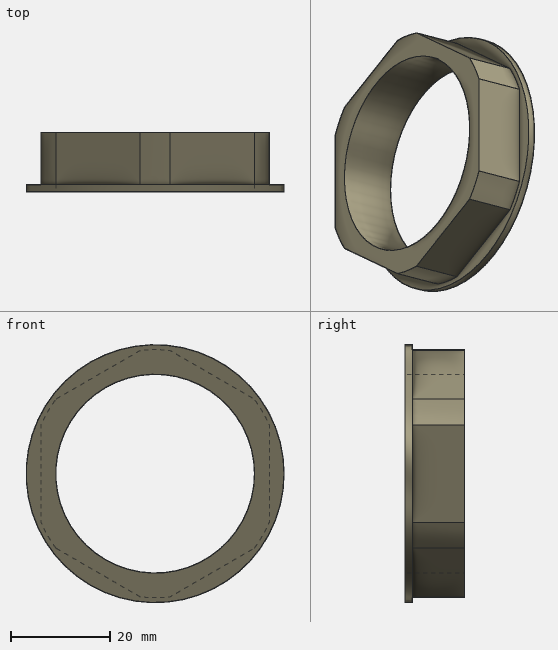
import cadquery as cq
import math

flange_diameter = 52.0
flange_thickness = 1.5
total_length = 12.0
bore_diameter = 40.0
hex_across_flats = 46.0
hex_corner_diameter = 50.0

hex_sides = 6
half_side_angle = 180.0 / hex_sides
hex_across_corners = hex_across_flats / math.cos(math.radians(half_side_angle))

base_plane = cq.Plane(origin=(0, 0, 0), xDir=(1, 0, 0), normal=(0, 1, 0))


def make_cylinder(diameter, length):
    """Cylinder on the part's axis, from the flange's outer face toward +Y."""
    return cq.Workplane(base_plane).circle(diameter / 2).extrude(length)


def make_hex_body():
    """Hexagonal body with flats facing +X and -X and corners trimmed to a circle."""
    hexagon = cq.Workplane(base_plane).polygon(hex_sides, hex_across_corners).extrude(total_length)
    hexagon = hexagon.rotate((0, 0, 0), (0, 1, 0), half_side_angle)
    return hexagon.intersect(make_cylinder(hex_corner_diameter, total_length))


flange = make_cylinder(flange_diameter, flange_thickness)
bore = make_cylinder(bore_diameter, total_length)

result = flange.union(make_hex_body()).cut(bore)